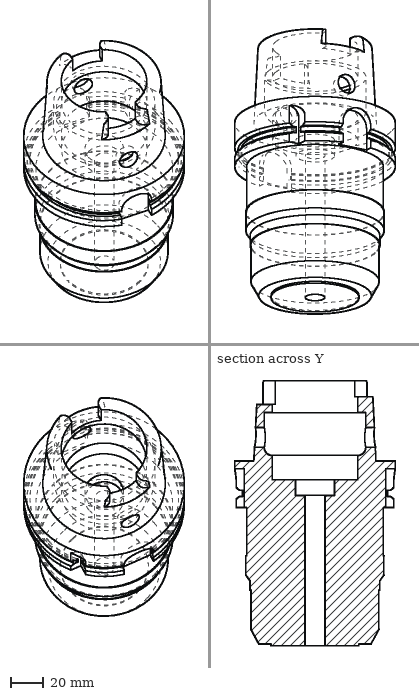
import cadquery as cq
import math

overall_height = 165.0
shank_length = 50.0
flange_thickness = 29.0
flange_top = overall_height - shank_length
flange_bottom = flange_top - flange_thickness

shank_base_radius = 38.1
shank_tip_radius = 35.5
tip_fillet = 2.0

flange_radius = 50.0
groove_depth_below_top = 20.1
groove_floor_radius = 46.2
groove_floor_width = 3.6
groove_shoulder_radius = 48.0
groove_mouth_width = 7.0

neck_radius = 42.5
collar_radius = 43.0
collar_top = 56.1
collar_bottom = 44.0
band_radius = 40.5
band_top = 40.5
band_bottom = 34.6
barrel_radius = 40.0
barrel_bottom = 10.4
nose_radius = 27.4
nose_height = 1.2
end_face_radius = 35.0

entry_radius = 26.5
entry_depth = 20.0
chamber_radius = 31.5
chamber_depth = 41.5
bore_depth = 61.5
counterbore_radius = 12.0
counterbore_depth = 9.9
coolant_radius = 6.1

notch_width = 20.1
notch_face_offset = 32.3
notch_corner_radius = 5.0
deep_notch_depth = 14.8
shallow_notch_depth = 10.0

cross_hole_radius = 6.1
cross_hole_height = flange_top + 14.7

keyway_width = 20.3
keyway_floor_offset = 44.0
keyway_top_gap = 5.0
orientation_offset = 31.7
orientation_radius = 7.5
orientation_top_gap = 5.1


def turned_body():
    """Revolve the whole outer outline about Z."""
    groove_middle = flange_top - groove_depth_below_top
    half_floor = groove_floor_width / 2
    half_mouth = groove_mouth_width / 2
    outline = [
        (0, 0),
        (nose_radius, 0),
        (nose_radius, nose_height),
        (end_face_radius, nose_height),
        (barrel_radius, barrel_bottom),
        (barrel_radius, band_bottom),
        (band_radius, band_bottom),
        (band_radius, band_top),
        (collar_radius, collar_bottom),
        (collar_radius, collar_top),
        (neck_radius, collar_top),
        (neck_radius, flange_bottom),
        (flange_radius, flange_bottom),
        (flange_radius, groove_middle - half_mouth),
        (groove_shoulder_radius, groove_middle - half_floor),
        (groove_floor_radius, groove_middle - half_floor),
        (groove_floor_radius, groove_middle + half_floor),
        (groove_shoulder_radius, groove_middle + half_floor),
        (flange_radius, groove_middle + half_mouth),
        (flange_radius, flange_top),
        (shank_base_radius, flange_top),
        (shank_tip_radius, overall_height),
        (0, overall_height),
    ]
    body = cq.Workplane("XZ").polyline(outline).close().revolve(360, (0, 0, 0), (0, 1, 0))
    return body.faces(">Z").edges().fillet(tip_fillet)


def stepped_bore():
    """Entry bore, undercut chamber, main bore, counterbore and coolant hole, revolved about Z."""
    chamber_top = overall_height - entry_depth
    round_top = overall_height - chamber_depth
    round_radius = chamber_radius - entry_radius
    round_sag = round_radius * math.sqrt(0.5)
    bore_floor = overall_height - bore_depth
    counterbore_floor = bore_floor - counterbore_depth
    section = (
        cq.Workplane("XZ")
        .moveTo(0, 0)
        .lineTo(coolant_radius, 0)
        .lineTo(coolant_radius, counterbore_floor)
        .lineTo(counterbore_radius, counterbore_floor)
        .lineTo(counterbore_radius, bore_floor)
        .lineTo(entry_radius, bore_floor)
        .lineTo(entry_radius, round_top - round_radius)
        .threePointArc(
            (entry_radius + round_sag, round_top - round_sag), (chamber_radius, round_top)
        )
        .lineTo(chamber_radius, chamber_top)
        .lineTo(entry_radius, chamber_top)
        .lineTo(entry_radius, overall_height)
        .lineTo(0, overall_height)
        .close()
    )
    return section.revolve(360, (0, 0, 0), (0, 1, 0))


def drive_notch(side, depth):
    """Slot across the shank wall that opens, round rounded corners, to a flat face.

    side is +1 for +X and -1 for -X.
    """
    reach = shank_base_radius
    half_width = notch_width / 2
    corner_start = notch_face_offset - notch_corner_radius
    corner_end = half_width + notch_corner_radius
    midpoint_shift = notch_corner_radius * math.sqrt(0.5)
    corner_mid = (corner_start + midpoint_shift, corner_end - midpoint_shift)
    return (
        cq.Workplane("XY")
        .workplane(offset=overall_height - depth)
        .moveTo(0, -half_width)
        .lineTo(side * corner_start, -half_width)
        .threePointArc(
            (side * corner_mid[0], -corner_mid[1]), (side * notch_face_offset, -corner_end)
        )
        .lineTo(side * notch_face_offset, -reach)
        .lineTo(side * reach, -reach)
        .lineTo(side * reach, reach)
        .lineTo(side * notch_face_offset, reach)
        .lineTo(side * notch_face_offset, corner_end)
        .threePointArc((side * corner_mid[0], corner_mid[1]), (side * corner_start, half_width))
        .lineTo(0, half_width)
        .close()
        .extrude(depth)
    )


def cross_hole():
    """Radial hole along X through both walls of the shank."""
    return (
        cq.Workplane("YZ")
        .center(0, cross_hole_height)
        .circle(cross_hole_radius)
        .extrude(shank_base_radius, both=True)
    )


def arched_slot(centre_y, radius, top_gap, floor_offset, side):
    """Slot cut along X into the flange: round at the top, open at the flange bottom."""
    arch_centre = flange_top - top_gap - radius
    return (
        cq.Workplane("YZ")
        .workplane(offset=side * floor_offset)
        .moveTo(centre_y - radius, flange_bottom)
        .lineTo(centre_y - radius, arch_centre)
        .threePointArc((centre_y, arch_centre + radius), (centre_y + radius, arch_centre))
        .lineTo(centre_y + radius, flange_bottom)
        .close()
        .extrude(side * (flange_radius - floor_offset))
    )


result = turned_body().cut(stepped_bore()).cut(cross_hole())

for side, depth in ((1, deep_notch_depth), (-1, shallow_notch_depth)):
    result = result.cut(drive_notch(side, depth))
    result = result.cut(arched_slot(0, keyway_width / 2, keyway_top_gap, keyway_floor_offset, side))

result = result.cut(
    arched_slot(
        orientation_offset + orientation_radius,
        orientation_radius,
        orientation_top_gap,
        orientation_offset,
        -1,
    )
)